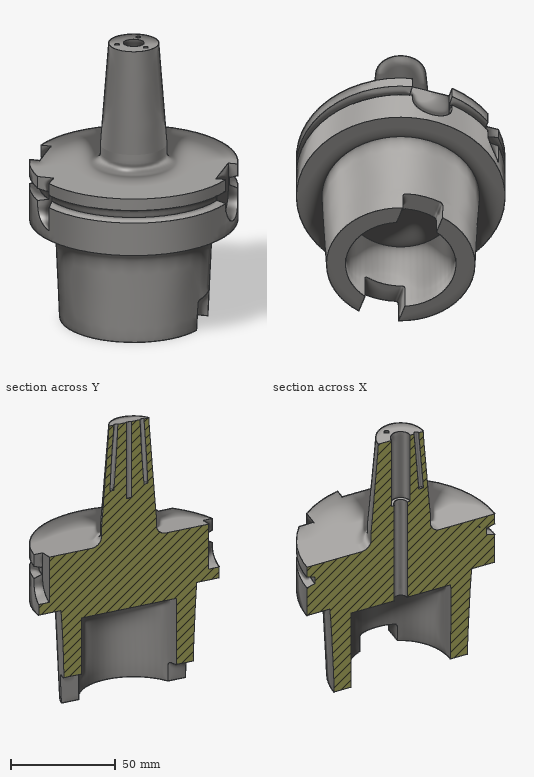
import cadquery as cq
import math

total_height = 140.0
shank_length = 50.0
flange_height = 29.0
flange_top = shank_length + flange_height
nose_length = total_height - flange_top

shank_top_radius = 37.8
shank_bottom_radius = 35.5
cavity_radius = 26.5
cavity_depth = 44.0

flange_radius = 50.0
groove_floor_radius = 45.8
groove_low_edge = 16.7
groove_low_floor = 17.9
groove_high_floor = 21.5
groove_high_edge = 23.0

nose_radius = 16.0
nose_tip_radius = 12.0
root_radius = 4.9
nose_taper_start = 9.5

bore_radius = 4.9
bore_depth = 39.2
passage_radius = 3.4

coolant_count = 3
coolant_radius = 1.1
coolant_circle_radius = 8.3
coolant_depth = 33.6
coolant_overshoot = 1.4

keyway_floor = 44.0
narrow_keyway_width = 20.0
wide_keyway_width = 21.8
keyway_bottom = shank_length + 4.6
notch_floor = 31.2
notch_inner_edge = 31.2

drive_width = 20.0
shallow_drive_depth = 10.0
deep_drive_depth = 15.1
drive_corner_radius = 1.7


def make_body():
    """Revolve the shank, flange and nose outline about Z."""
    root_center_radius = nose_radius + root_radius
    root_center_height = flange_top + root_radius
    root_mid = (
        root_center_radius - root_radius * math.cos(math.pi / 4),
        root_center_height - root_radius * math.sin(math.pi / 4),
    )
    return (
        cq.Workplane("XZ")
        .lineTo(shank_bottom_radius, 0)
        .lineTo(shank_top_radius, shank_length)
        .lineTo(flange_radius, shank_length)
        .lineTo(flange_radius, shank_length + groove_low_edge)
        .lineTo(groove_floor_radius, shank_length + groove_low_floor)
        .lineTo(groove_floor_radius, shank_length + groove_high_floor)
        .lineTo(flange_radius, shank_length + groove_high_edge)
        .lineTo(flange_radius, flange_top)
        .lineTo(root_center_radius, flange_top)
        .threePointArc(root_mid, (nose_radius, root_center_height))
        .lineTo(nose_radius, flange_top + nose_taper_start)
        .lineTo(nose_tip_radius, total_height)
        .lineTo(0, total_height)
        .close()
        .revolve(360, (0, 0, 0), (0, 1, 0))
    )


def vertical_cylinder(radius, bottom, top):
    return cq.Workplane("XY").workplane(offset=bottom).circle(radius).extrude(top - bottom)


def make_bores():
    """Shank cavity, through passage and tool bore."""
    cavity = vertical_cylinder(cavity_radius, 0, cavity_depth)
    passage = vertical_cylinder(passage_radius, 0, total_height)
    bore = vertical_cylinder(bore_radius, total_height - bore_depth, total_height)
    return cavity.union(passage).union(bore)


def make_coolant_holes():
    """Blind holes spaced around the nose face, the first on +Y, leaning outward with the nose taper."""
    taper_height = nose_length - nose_taper_start
    lean = math.degrees(math.atan2(nose_radius - nose_tip_radius, taper_height))
    hole = (
        vertical_cylinder(coolant_radius, -coolant_depth, coolant_overshoot)
        .rotate((0, 0, 0), (1, 0, 0), lean)
        .translate((0, coolant_circle_radius, total_height))
    )
    holes = cq.Workplane("XY")
    for index in range(coolant_count):
        holes = holes.add(hole.rotate((0, 0, 0), (0, 0, 1), index * 360 / coolant_count))
    return holes.combine()


def keyway_cutter(side, floor, center_y, width):
    """Open-topped, round-bottomed slot running outward along X from its floor."""
    half_width = width / 2
    round_center = keyway_bottom + half_width
    return (
        cq.Workplane("YZ")
        .workplane(offset=side * floor)
        .moveTo(center_y - half_width, flange_top)
        .lineTo(center_y - half_width, round_center)
        .threePointArc((center_y, keyway_bottom), (center_y + half_width, round_center))
        .lineTo(center_y + half_width, flange_top)
        .close()
        .extrude(side * flange_radius)
    )


def drive_slot(side, depth):
    """Slot across one wall of the shank with rounded inner corners."""
    return (
        cq.Workplane("XY")
        .box(flange_radius, drive_width, depth, centered=(True, True, False))
        .edges("|X and >Z")
        .fillet(drive_corner_radius)
        .translate((side * flange_radius / 2, 0, 0))
    )


notch_center_y = -notch_inner_edge - narrow_keyway_width / 2

result = (
    make_body()
    .cut(make_bores())
    .cut(make_coolant_holes())
    .cut(keyway_cutter(-1, keyway_floor, 0, narrow_keyway_width))
    .cut(keyway_cutter(1, keyway_floor, 0, wide_keyway_width))
    .cut(keyway_cutter(-1, notch_floor, notch_center_y, narrow_keyway_width))
    .cut(drive_slot(-1, shallow_drive_depth))
    .cut(drive_slot(1, deep_drive_depth))
)